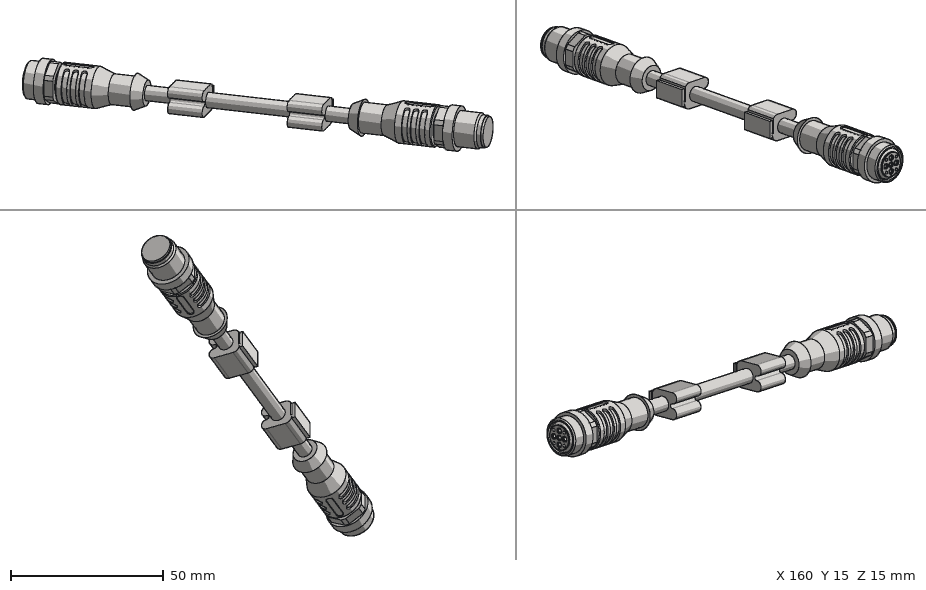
import cadquery as cq
import math


LENGTH = 160.0
TIP_X = LENGTH / 2
CABLE_DIA = 5.1

SOCKET_HOUSING_X = 38.2
PLUG_HOUSING_X = 33.0
COLLAR_LENGTH = 3.8
COLLAR_END_DIA = 8.6
COLLAR_DIA = 12.3
BARREL_DIA = 10.2
BARREL_END = 11.7
GRIP_DIA = 14.0
GRIP_START = 17.0
GRIP_END = 29.5
GRIP_EDGE_CHAMFER = 0.3
NECK_DIA = 9.3
NECK_END = 31.2

GROOVE_COUNT = 3
GROOVE_PITCH = 3.0
GROOVE_WIDTH = 2.0
GROOVE_FLOOR_DIA = 12.8
FIRST_GROOVE = GRIP_START + 3.4
GROOVE_END_Y = 3.0
POCKET_LENGTH = 10.4
POCKET_WIDTH = 2.4
POCKET_FLOOR_Z = 6.5
POCKET_CENTER = GRIP_START + 6.5

HEX_SIDES = 6
HEX_ACROSS_FLATS = 13.0
HEX_CORNER_DIA = 14.0
RING_DIA = 15.0
SOCKET_HEX_X = 68.6
SOCKET_RING_X = (71.7, 75.0)
PLUG_HEX_X = 63.4
PLUG_RING_X = (66.7, 70.0)

SLEEVE_DIA = 12.8
SLEEVE_BORE_DIA = 10.9
SLEEVE_FRONT_X = 79.4
SLEEVE_CHAMFER = 0.5
SLEEVE_BORE_DEPTH = 1.6
INSERT_DIA = 8.6
INSERT_FACE_DIA = 8.3
INSERT_EDGE = (INSERT_DIA - INSERT_FACE_DIA) / 2
SEAL_DIA = 10.5
SEAL_X = 79.5
CONTACT_HOLE_DIA = 1.15
CONTACT_RECESS_DIA = 2.0
CONTACT_RECESS_DEPTH = 0.5
CONTACT_CIRCLE_DIA = 4.8
SMALL_HOLE_DIA = 1.0
SMALL_HOLE_CIRCLE_DIA = 6.4
SMALL_HOLE_COUNT = 4
SMALL_HOLE_START_ANGLE = 45
CONTACT_DEPTH = 3.2
KEY_DIA = 1.15

THREAD_DIA = 12.0
THREAD_END_X = 77.1
STEP_DIA = 10.9
STEP_START_X = 77.8
STEP_END_X = 79.2
PLUG_TIP_DIA = 10.2

CLIP_LENGTH = 12.0
CLIP_CENTERS_X = (-23.0, 18.4)
CLIP_HALF_HEIGHT = 4.6
LOBE_RADIUS = 2.0
LOBE_CENTER_Y = -4.2
BACK_Y = 4.8
BACK_CORNER_RADIUS = 2.2
PLATE_HALF_HEIGHT = 3.0
PLATE_BACK_Y = 6.0
SLOT_WIDTH = 0.5
SLOT_Y = 4.5
SLOT_FLOOR_Z = -1.6


def cylinder(diameter, x_start, x_end):
    """Cylinder along X between two places."""
    return cq.Workplane("YZ", origin=(x_start, 0, 0)).circle(diameter / 2).extrude(x_end - x_start)


def revolve_profile(steps):
    """Solid of revolution about X from (x, diameter) pairs."""
    points = [(x, diameter / 2) for x, diameter in steps]
    outline = [(steps[0][0], 0)] + points + [(steps[-1][0], 0)]
    return cq.Workplane("XY").polyline(outline).close().revolve(360, (0, 0, 0), (1, 0, 0))


def groove_cutter(x):
    """Grooves around the +Y and -Y sides of the grip, with rounded ends above and below."""
    reach = GRIP_DIA
    slot_length = reach - GROOVE_END_Y
    slot_center_y = (reach + GROOVE_END_Y) / 2
    slots = (
        cq.Workplane("XY", origin=(x, 0, -reach))
        .pushPoints([(0, slot_center_y), (0, -slot_center_y)])
        .slot2D(slot_length, GROOVE_WIDTH, 90)
        .extrude(2 * reach)
    )
    return slots.cut(cylinder(GROOVE_FLOOR_DIA, x - GROOVE_WIDTH, x + GROOVE_WIDTH))


def pocket_cutter():
    """Pockets in the top and bottom of the grip."""
    top = (
        cq.Workplane("XY", origin=(POCKET_CENTER, 0, POCKET_FLOOR_Z))
        .slot2D(POCKET_LENGTH, POCKET_WIDTH)
        .extrude(GRIP_DIA / 2)
    )
    return top.union(top.mirror("XY"))


def housing():
    """Moulded housing with its cable end at the origin, pointing along +X."""
    body = revolve_profile(
        [
            (0, COLLAR_END_DIA),
            (COLLAR_LENGTH, COLLAR_DIA),
            (COLLAR_LENGTH, BARREL_DIA),
            (BARREL_END, BARREL_DIA),
            (GRIP_START, GRIP_DIA),
            (GRIP_END - GRIP_EDGE_CHAMFER, GRIP_DIA),
            (GRIP_END, GRIP_DIA - 2 * GRIP_EDGE_CHAMFER),
            (GRIP_END, NECK_DIA),
            (NECK_END, NECK_DIA),
        ]
    )
    for i in range(GROOVE_COUNT):
        body = body.cut(groove_cutter(FIRST_GROOVE + i * GROOVE_PITCH))
    return body.cut(pocket_cutter())


def coupling_nut(hex_start_x, ring_x):
    """Nut pointing along +X, with two of the hexagon's flats facing +Y and -Y."""
    ring_start, ring_end = ring_x
    hex_length = ring_start - hex_start_x
    hexagon = (
        cq.Workplane("YZ", origin=(hex_start_x, 0, 0))
        .polygon(HEX_SIDES, HEX_ACROSS_FLATS, circumscribed=True)
        .extrude(hex_length)
        .intersect(cylinder(HEX_CORNER_DIA, hex_start_x, ring_start))
    )
    return hexagon.union(cylinder(RING_DIA, ring_start, ring_end))


def contact_cylinders(diameter, depth):
    """Cylinders reaching in from the socket face: one in the middle and four around it."""
    radius = CONTACT_CIRCLE_DIA / 2
    return (
        cq.Workplane("YZ", origin=(TIP_X - depth, 0, 0))
        .pushPoints([(0, 0), (radius, 0), (-radius, 0), (0, radius), (0, -radius)])
        .circle(diameter / 2)
        .extrude(depth)
    )


def socket_front():
    """Sleeve and contact insert, pointing along +X before the connector is mirrored."""
    ring_end = SOCKET_RING_X[1]
    bore_floor_x = SLEEVE_FRONT_X - SLEEVE_BORE_DEPTH
    sleeve = revolve_profile(
        [
            (ring_end, SLEEVE_DIA),
            (SLEEVE_FRONT_X - SLEEVE_CHAMFER, SLEEVE_DIA),
            (SLEEVE_FRONT_X, SLEEVE_DIA - 2 * SLEEVE_CHAMFER),
        ]
    ).cut(cylinder(SLEEVE_BORE_DIA, bore_floor_x, TIP_X))
    insert = revolve_profile(
        [
            (bore_floor_x, SEAL_DIA),
            (SEAL_X - (SEAL_DIA - INSERT_DIA) / 2, SEAL_DIA),
            (SEAL_X, INSERT_DIA),
            (TIP_X - INSERT_EDGE, INSERT_DIA),
            (TIP_X, INSERT_FACE_DIA),
        ]
    )
    contact_holes = contact_cylinders(CONTACT_HOLE_DIA, CONTACT_DEPTH)
    contact_recesses = contact_cylinders(CONTACT_RECESS_DIA, CONTACT_RECESS_DEPTH)
    small_holes = (
        cq.Workplane("YZ", origin=(TIP_X - CONTACT_DEPTH, 0, 0))
        .polarArray(SMALL_HOLE_CIRCLE_DIA / 2, SMALL_HOLE_START_ANGLE, 360, SMALL_HOLE_COUNT)
        .circle(SMALL_HOLE_DIA / 2)
        .extrude(CONTACT_DEPTH)
    )
    key_notch = cylinder(KEY_DIA, SEAL_X, TIP_X).translate((0, 0, -INSERT_DIA / 2))
    openings = contact_holes.union(contact_recesses).union(small_holes).union(key_notch)
    return sleeve.union(insert).cut(openings)


def plug_front():
    """Stepped plug end."""
    return revolve_profile(
        [
            (PLUG_RING_X[1], THREAD_DIA),
            (THREAD_END_X, THREAD_DIA),
            (STEP_START_X, STEP_DIA),
            (STEP_END_X, STEP_DIA),
            (STEP_END_X, PLUG_TIP_DIA),
            (TIP_X, PLUG_TIP_DIA),
        ]
    )


def connector(housing_x, hex_start_x, ring_x, front):
    """Complete connector pointing along +X."""
    body = housing().translate((housing_x, 0, 0))
    return body.union(coupling_nut(hex_start_x, ring_x)).union(front)


def clip(center_x):
    """Cable clip: two lobes with a slit between them on -Y, and a plate behind an open slot on +Y."""
    lobe_z = CLIP_HALF_HEIGHT - LOBE_RADIUS
    slit_half_height = lobe_z - LOBE_RADIUS
    back_flat_z = CLIP_HALF_HEIGHT - BACK_CORNER_RADIUS
    back_flat_y = BACK_Y - BACK_CORNER_RADIUS
    diagonal = BACK_CORNER_RADIUS * math.sqrt(0.5)
    body = (
        cq.Workplane("YZ", origin=(center_x - CLIP_LENGTH / 2, 0, 0))
        .moveTo(back_flat_y, CLIP_HALF_HEIGHT)
        .lineTo(LOBE_CENTER_Y, CLIP_HALF_HEIGHT)
        .threePointArc((LOBE_CENTER_Y - LOBE_RADIUS, lobe_z), (LOBE_CENTER_Y, slit_half_height))
        .threePointArc((LOBE_CENTER_Y + slit_half_height, 0), (LOBE_CENTER_Y, -slit_half_height))
        .threePointArc((LOBE_CENTER_Y - LOBE_RADIUS, -lobe_z), (LOBE_CENTER_Y, -CLIP_HALF_HEIGHT))
        .lineTo(back_flat_y, -CLIP_HALF_HEIGHT)
        .threePointArc((back_flat_y + diagonal, -back_flat_z - diagonal), (BACK_Y, -back_flat_z))
        .lineTo(BACK_Y, back_flat_z)
        .threePointArc((back_flat_y + diagonal, back_flat_z + diagonal), (back_flat_y, CLIP_HALF_HEIGHT))
        .close()
        .extrude(CLIP_LENGTH)
    )
    plate_thickness = PLATE_BACK_Y - BACK_Y
    plate = (
        cq.Workplane("XY")
        .box(CLIP_LENGTH, plate_thickness, 2 * PLATE_HALF_HEIGHT)
        .translate((center_x, BACK_Y + plate_thickness / 2, 0))
    )
    slot = (
        cq.Workplane("XY", origin=(center_x, SLOT_Y + SLOT_WIDTH / 2, SLOT_FLOOR_Z))
        .rect(CLIP_LENGTH, SLOT_WIDTH)
        .extrude(CLIP_HALF_HEIGHT - SLOT_FLOOR_Z)
    )
    return body.union(plate).cut(slot)


socket = connector(SOCKET_HOUSING_X, SOCKET_HEX_X, SOCKET_RING_X, socket_front()).mirror("YZ")
plug = connector(PLUG_HOUSING_X, PLUG_HEX_X, PLUG_RING_X, plug_front())
result = cylinder(CABLE_DIA, -SOCKET_HOUSING_X, PLUG_HOUSING_X).union(socket).union(plug)
for clip_x in CLIP_CENTERS_X:
    result = result.union(clip(clip_x))